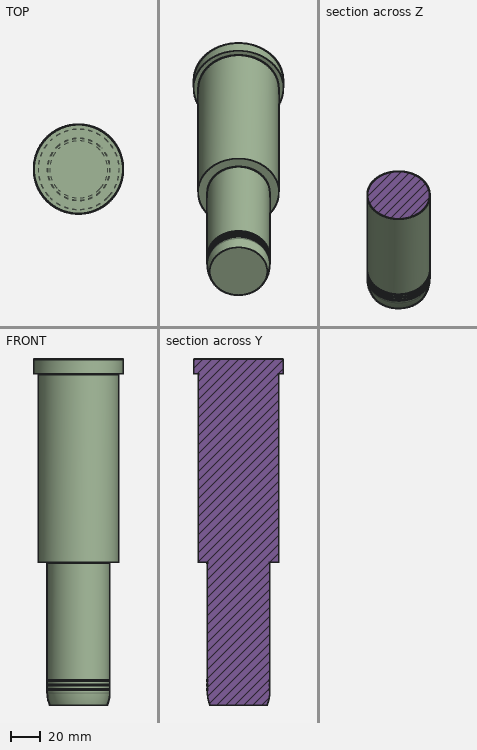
import cadquery as cq

total_length = 231.0
head_diameter = 60.0
body_diameter = 54.0
pin_diameter = 42.0

head_height = 10.0
body_bottom = 95.5
nose_height = 8.3

head_chamfer = 0.5
relief_height = 0.7
relief_depth = 0.2
nose_tip_diameter = 38.3
nose_bulge = 0.5

groove_count = 3
groove_width = 1.2
groove_depth = 0.5
groove_pitch = 3.0
first_groove_z = 10.6


def make_stepped_pin():
    """Revolve the half profile, drawn as radius against height."""
    head_radius = head_diameter / 2
    body_radius = body_diameter / 2
    pin_radius = pin_diameter / 2
    tip_radius = nose_tip_diameter / 2
    head_bottom = total_length - head_height
    nose_middle_radius = (pin_radius + tip_radius) / 2 + nose_bulge

    profile = (
        cq.Workplane("XZ")
        .lineTo(tip_radius, 0)
        .threePointArc((nose_middle_radius, nose_height / 2), (pin_radius, nose_height))
        .lineTo(pin_radius, body_bottom - relief_height)
        .lineTo(pin_radius - relief_depth, body_bottom - relief_height)
        .lineTo(pin_radius - relief_depth, body_bottom)
        .lineTo(body_radius, body_bottom)
        .lineTo(body_radius, head_bottom - relief_height)
        .lineTo(body_radius - relief_depth, head_bottom - relief_height)
        .lineTo(body_radius - relief_depth, head_bottom)
        .lineTo(head_radius, head_bottom)
        .lineTo(head_radius, total_length - head_chamfer)
        .lineTo(head_radius - head_chamfer, total_length)
        .lineTo(0, total_length)
        .close()
    )
    return profile.revolve(360, (0, 0, 0), (0, 1, 0))


def make_groove_ring(center_z):
    """V-section ring of material that a groove removes from the pin."""
    pin_radius = pin_diameter / 2
    half_width = groove_width / 2
    section = (
        cq.Workplane("XZ")
        .moveTo(pin_radius, center_z - half_width)
        .lineTo(pin_radius - groove_depth, center_z)
        .lineTo(pin_radius, center_z + half_width)
        .close()
    )
    return section.revolve(360, (0, 0, 0), (0, 1, 0))


result = make_stepped_pin()
for index in range(groove_count):
    result = result.cut(make_groove_ring(first_groove_z + index * groove_pitch))